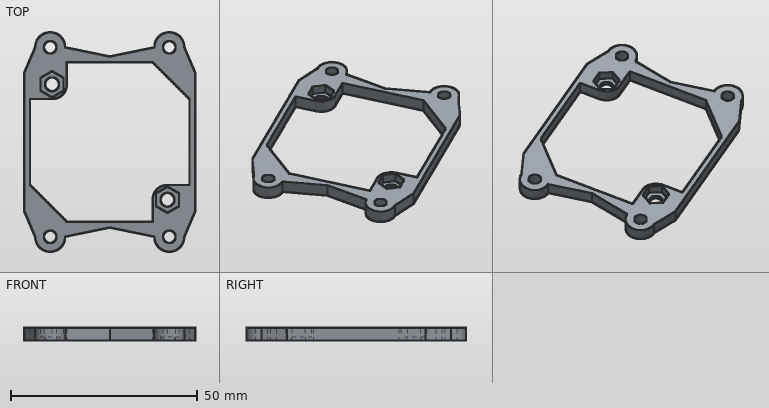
import cadquery as cq
import math

plate_width = 45.98
plate_length = 59.0
thickness = 3.5
side_edge_length = 37.2
waist_length = 46.0

ear_radius = 4.05
ear_spacing_x = 32.0
ear_hole_diameter = 3.3

opening_size = 42.8
opening_flat = 23.0

nut_spacing = 31.0
nut_hole_diameter = 3.65
nut_across_flats = 6.1
nut_pocket_depth = 2.5

half_width = plate_width / 2
half_side_edge = side_edge_length / 2
half_waist = waist_length / 2
ear_x = ear_spacing_x / 2
ear_y = plate_length / 2 - ear_radius
half_opening = opening_size / 2
half_flat = opening_flat / 2
nut_offset = nut_spacing / 2
seat_corner_radius = nut_offset - half_flat
nut_across_corners = nut_across_flats / math.cos(math.pi / 6)

ear_centers = [(sx * ear_x, sy * ear_y) for sx in (-1, 1) for sy in (-1, 1)]
nut_centers = [(-nut_offset, nut_offset), (nut_offset, -nut_offset)]


def make_plate():
    """Solid plate with tapered corners, notched ends and half-round ears."""
    inner_x = ear_x - ear_radius
    outer_x = ear_x + ear_radius
    tip_y = ear_y + ear_radius
    return (
        cq.Workplane("XY")
        .moveTo(-half_width, -half_side_edge)
        .lineTo(-half_width, half_side_edge)
        .lineTo(-outer_x, ear_y)
        .threePointArc((-ear_x, tip_y), (-inner_x, ear_y))
        .lineTo(0, half_waist)
        .lineTo(inner_x, ear_y)
        .threePointArc((ear_x, tip_y), (outer_x, ear_y))
        .lineTo(half_width, half_side_edge)
        .lineTo(half_width, -half_side_edge)
        .lineTo(outer_x, -ear_y)
        .threePointArc((ear_x, -tip_y), (inner_x, -ear_y))
        .lineTo(0, -half_waist)
        .lineTo(-inner_x, -ear_y)
        .threePointArc((-ear_x, -tip_y), (-outer_x, -ear_y))
        .close()
        .extrude(thickness)
    )


def make_opening():
    """Square opening: two corners cut at 45 degrees, two stepped around the nut seats."""
    arc_reach = seat_corner_radius * math.sqrt(0.5)
    arc_mid = nut_offset - arc_reach
    return (
        cq.Workplane("XY")
        .moveTo(-half_flat, half_opening)
        .lineTo(half_flat, half_opening)
        .lineTo(half_opening, half_flat)
        .lineTo(half_opening, -half_flat)
        .lineTo(nut_offset, -half_flat)
        .threePointArc((arc_mid, -arc_mid), (half_flat, -nut_offset))
        .lineTo(half_flat, -half_opening)
        .lineTo(-half_flat, -half_opening)
        .lineTo(-half_opening, -half_flat)
        .lineTo(-half_opening, half_flat)
        .lineTo(-nut_offset, half_flat)
        .threePointArc((-arc_mid, arc_mid), (-half_flat, nut_offset))
        .close()
        .extrude(thickness)
    )


def make_holes(centers, diameter):
    """Cylinders through the full thickness at the given centres."""
    return cq.Workplane("XY").pushPoints(centers).circle(diameter / 2).extrude(thickness)


def make_nut_pocket(center):
    """Hexagonal nut pocket open at the top, with its corners pointing along Y."""
    return (
        cq.Workplane("XY")
        .polygon(6, nut_across_corners)
        .extrude(nut_pocket_depth)
        .rotate((0, 0, 0), (0, 0, 1), 90)
        .translate((center[0], center[1], thickness - nut_pocket_depth))
    )


result = make_plate().cut(make_opening())
result = result.cut(make_holes(ear_centers, ear_hole_diameter))
result = result.cut(make_holes(nut_centers, nut_hole_diameter))
for nut_center in nut_centers:
    result = result.cut(make_nut_pocket(nut_center))